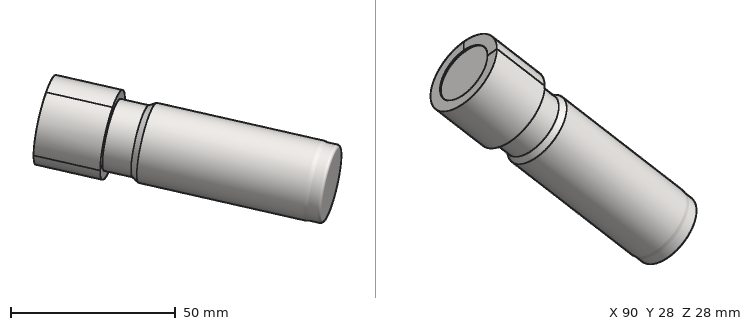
import cadquery as cq
import math

head_diameter = 28.0
head_length = 21.0
recess_diameter = 20.0
recess_depth = 0.5

neck_diameter = 22.5
neck_end = 30.0
shaft_diameter = 25.0
shoulder_angle = 30.0
shaft_end = 84.7
cap_diameter = 24.5
cap_start = 86.0
overall_length = 90.0
end_rounding = 1.0


def make_full_turning():
    """Complete turned shape along X, with the quarter segment still in place."""
    head_radius = head_diameter / 2
    neck_radius = neck_diameter / 2
    shaft_radius = shaft_diameter / 2
    cap_radius = cap_diameter / 2
    recess_radius = recess_diameter / 2
    shoulder_length = (shaft_radius - neck_radius) / math.tan(math.radians(shoulder_angle))
    profile = (
        cq.Workplane("XY")
        .moveTo(recess_depth, 0)
        .lineTo(recess_depth, recess_radius)
        .lineTo(0, recess_radius)
        .lineTo(0, head_radius)
        .lineTo(head_length, head_radius)
        .lineTo(head_length, neck_radius)
        .lineTo(neck_end, neck_radius)
        .lineTo(neck_end + shoulder_length, shaft_radius)
        .lineTo(shaft_end, shaft_radius)
        .lineTo(cap_start, cap_radius)
        .lineTo(overall_length - end_rounding, cap_radius)
        .radiusArc((overall_length, cap_radius - end_rounding), end_rounding)
        .lineTo(overall_length, 0)
        .close()
    )
    return profile.revolve(360, (0, 0, 0), (1, 0, 0))


def make_quarter_segment():
    """Quarter ring of the head, filling the -Y / +Z quadrant outside the recess."""
    ring = (
        cq.Workplane("YZ")
        .circle(head_diameter / 2)
        .circle(recess_diameter / 2)
        .extrude(head_length)
    )
    quadrant = (
        cq.Workplane("XY")
        .box(head_length, head_diameter, head_diameter, centered=False)
        .translate((0, -head_diameter, 0))
    )
    return ring.intersect(quadrant)


segment = make_quarter_segment()
housing = make_full_turning().cut(segment)

result = cq.Compound.makeCompound([housing.val(), segment.val()])